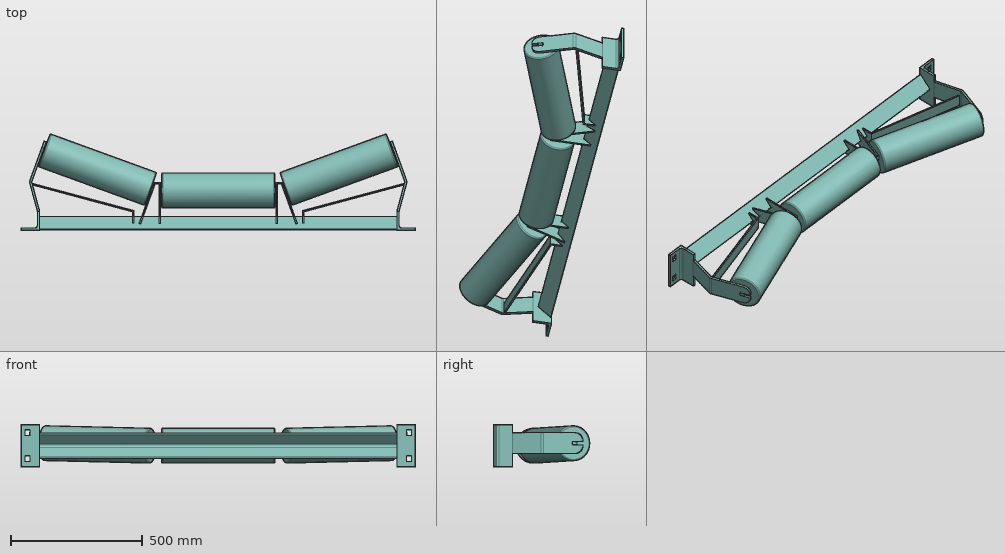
import cadquery as cq
import math

OVERALL_LENGTH = 1500.0
TROUGH_ANGLE = 20.0
SPLAY_ANGLE = 15.0

BEAM_LEG = 69.0
BEAM_THICKNESS = 6.0
BEAM_ROOT_RADIUS = 9.0
BEAM_TOE_RADIUS = 5.0

PLATE_THICKNESS = 9.0
FOOT_WIDTH = 70.0
FOOT_HEIGHT = 160.0
LEG_DEPTH = 72.0
UPPER_BEND_Y = 185.0
UPRIGHT_TIP_LENGTH = 162.0
UPRIGHT_WIDTH = 80.0
UPRIGHT_OFFSET_Z = 9.8
UPRIGHT_CORNER_RADIUS = 30.0
FOOT_BEND_RADIUS = 10.0
UPPER_BEND_RADIUS = 9.0
FOOT_HOLE_WIDTH = 18.0
FOOT_HOLE_HEIGHT = 21.0
FOOT_HOLE_EDGE_DISTANCE = 24.0
FOOT_HOLE_SPACING = 99.0

ROLLER_DIAMETER = 134.0
ROLLER_LENGTH = 430.0
ROLLER_EDGE_RADIUS = 5.0
CENTRE_ROLLER_Y = 152.0
ROLLER_GAP = 3.8
SHAFT_DIAMETER = 20.0
SHAFT_FLATS = 12.0
SHAFT_TO_TIP = 33.0
SLOT_CLEARANCE = 0.8
SLOT_CUT_LENGTH = 22.0

INNER_THICKNESS = 6.0
INNER_WIDTH = 60.0
INNER_TOP_Y = 182.0
SADDLE_BOTTOM_Y = 25.0

BRACE_THICKNESS = 6.0
BRACE_WIDTH = 50.0
BRACE_FOOT_X = 321.0
BRACE_BELOW_BEND = 6.0

trough = math.radians(TROUGH_ANGLE)
splay = math.radians(SPLAY_ANGLE)

beam_corner_y = (BEAM_LEG + BEAM_THICKNESS) / math.sqrt(2)

leg_x = FOOT_WIDTH - OVERALL_LENGTH / 2
upper_bend = (leg_x - (UPPER_BEND_Y - LEG_DEPTH) * math.tan(splay), UPPER_BEND_Y)


def along(start, angle, distance):
    """Point at a distance from start, in a direction given in radians from +X."""
    return (start[0] + distance * math.cos(angle), start[1] + distance * math.sin(angle))


upright_direction = math.pi / 2 - trough
upright_tip = along(upper_bend, upright_direction, UPRIGHT_TIP_LENGTH)
wing_outer_support = along(upper_bend, upright_direction, UPRIGHT_TIP_LENGTH - SHAFT_TO_TIP)
wing_span = ROLLER_LENGTH + 2 * ROLLER_GAP
wing_inner_support = along(wing_outer_support, -trough, wing_span)
wing_centre = along(wing_outer_support, -trough, wing_span / 2)
wing_tilt = math.degrees(math.atan(UPRIGHT_OFFSET_Z / wing_span))


def bent_plate(path, thickness, width, centre_z=0.0):
    """Plate that follows a path in XY, thickened to the left of it (right if negative)."""
    headings = [math.atan2(b[1] - a[1], b[0] - a[0]) for a, b in zip(path, path[1:])]
    before = headings[:1] + headings
    after = headings + headings[-1:]
    far_side = []
    for point, h1, h2 in zip(path, before, after):
        mitre = thickness / math.cos((h2 - h1) / 2)
        far_side.append(along(point, (h1 + h2) / 2 + math.pi / 2, mitre))
    return (
        cq.Workplane("XY", origin=(0, 0, centre_z - width / 2))
        .polyline(path + far_side[::-1])
        .close()
        .extrude(width)
    )


def shaft_bar(length, clearance=0.0):
    """Round bar with two flats, along X and centred on the origin."""
    bar = (
        cq.Workplane("YZ", origin=(-length / 2, 0, 0))
        .circle(SHAFT_DIAMETER / 2 + clearance)
        .extrude(length)
    )
    flats = cq.Workplane("XY").box(length, SHAFT_DIAMETER * 2, SHAFT_FLATS + 2 * clearance)
    return bar.intersect(flats)


def shaft_slot(length, depth):
    """Cutter for a slot open to +Y whose bottom holds a shaft centred on the origin."""
    opening = cq.Workplane("XY").box(
        length, depth, SHAFT_FLATS + 2 * SLOT_CLEARANCE, centered=(True, False, True)
    )
    return shaft_bar(length, SLOT_CLEARANCE).union(opening)


def in_wing_place(shape, point, z):
    """Turn a shape built along X to the slope of the left wing and move it to a point."""
    return shape.rotate((0, 0, 0), (0, 0, 1), -TROUGH_ANGLE).translate((point[0], point[1], z))


def beam_wedge():
    """Solid triangle inside the outer faces of the beam, for notching what sits on it."""
    return (
        cq.Workplane("YZ", origin=(-OVERALL_LENGTH / 2, 0, 0))
        .polyline([(beam_corner_y, 0), (0, beam_corner_y), (0, -beam_corner_y)])
        .close()
        .extrude(OVERALL_LENGTH)
    )


def make_beam():
    """Angle iron between the end brackets, turned 45 degrees so its corner faces +Y."""
    angle_iron = (
        cq.Workplane("YZ", origin=(leg_x, 0, 0))
        .polyline([
            (0, 0),
            (-BEAM_LEG, 0),
            (-BEAM_LEG, BEAM_THICKNESS),
            (-BEAM_THICKNESS, BEAM_THICKNESS),
            (-BEAM_THICKNESS, BEAM_LEG),
            (0, BEAM_LEG),
        ])
        .close()
        .extrude(-2 * leg_x)
        .edges(cq.selectors.NearestToPointSelector((0, -BEAM_THICKNESS, BEAM_THICKNESS)))
        .fillet(BEAM_ROOT_RADIUS)
        .edges(cq.selectors.NearestToPointSelector((0, -BEAM_LEG, BEAM_THICKNESS)))
        .fillet(BEAM_TOE_RADIUS)
        .edges(cq.selectors.NearestToPointSelector((0, -BEAM_THICKNESS, BEAM_LEG)))
        .fillet(BEAM_TOE_RADIUS)
    )
    return angle_iron.rotate((0, 0, 0), (1, 0, 0), 45).translate((0, beam_corner_y, 0))


def make_brace(end_bracket):
    """Left brace: a foot astride the beam and an arm whose end is cut to meet the end bracket."""
    arm_end = along(upper_bend, -math.pi / 2 + splay, BRACE_BELOW_BEND)
    bend_y = arm_end[1] - (-BRACE_FOOT_X - arm_end[0]) * math.tan(splay)
    path = [(-BRACE_FOOT_X, SADDLE_BOTTOM_Y), (-BRACE_FOOT_X, bend_y), arm_end]
    arm = bent_plate(path, BRACE_THICKNESS, BRACE_WIDTH)
    return arm.cut(beam_wedge()).cut(end_bracket)


def make_end_bracket():
    """Left end bracket: bolted foot, full-height leg and slotted upright."""
    foot_corner = (leg_x, 0)
    leg_top = (leg_x, LEG_DEPTH)
    leg_middle = (leg_x, LEG_DEPTH / 2)
    foot_start = (-OVERALL_LENGTH / 2, 0)
    foot = bent_plate([foot_start, foot_corner, leg_top], PLATE_THICKNESS, FOOT_HEIGHT)
    foot_bend = (leg_x - PLATE_THICKNESS, PLATE_THICKNESS, 0)
    foot = foot.edges(cq.selectors.NearestToPointSelector(foot_bend)).fillet(FOOT_BEND_RADIUS)
    holes = (
        cq.Workplane("XZ", origin=(foot_start[0] + FOOT_HOLE_EDGE_DISTANCE, 0, 0))
        .rarray(15, FOOT_HOLE_SPACING, 1, 2)
        .rect(FOOT_HOLE_WIDTH, FOOT_HOLE_HEIGHT)
        .extrude(-PLATE_THICKNESS)
    )
    upright = bent_plate(
        [leg_middle, leg_top, upper_bend, upright_tip],
        PLATE_THICKNESS, UPRIGHT_WIDTH, UPRIGHT_OFFSET_Z,
    )
    inside_bend = (*upper_bend, UPRIGHT_OFFSET_Z)
    outside_bend = (upper_bend[0] - PLATE_THICKNESS, upper_bend[1], UPRIGHT_OFFSET_Z)
    upright = upright.edges(cq.selectors.NearestToPointSelector(inside_bend)).fillet(UPPER_BEND_RADIUS)
    upright = upright.edges(cq.selectors.NearestToPointSelector(outside_bend)).fillet(
        UPPER_BEND_RADIUS + PLATE_THICKNESS
    )
    tip_middle = along(upright_tip, math.pi - trough, PLATE_THICKNESS / 2)
    for side in (-1, 1):
        tip_corner = (*tip_middle, UPRIGHT_OFFSET_Z + side * UPRIGHT_WIDTH / 2)
        upright = upright.edges(cq.selectors.NearestToPointSelector(tip_corner)).fillet(
            UPRIGHT_CORNER_RADIUS
        )
    slot = shaft_slot(SLOT_CUT_LENGTH, 2 * SHAFT_TO_TIP)
    return foot.cut(holes).union(upright).cut(
        in_wing_place(slot, wing_outer_support, UPRIGHT_OFFSET_Z)
    )


def make_inner_bracket():
    """Left inner bracket: an inverted U astride the beam that carries two roller ends."""
    centre_face_x = -(ROLLER_LENGTH / 2 + ROLLER_GAP)

    def wing_face(y):
        return (wing_inner_support[0] + (y - wing_inner_support[1]) * math.tan(trough), y)

    path = [
        wing_face(SADDLE_BOTTOM_Y),
        wing_face(INNER_TOP_Y),
        (centre_face_x, INNER_TOP_Y),
        (centre_face_x, SADDLE_BOTTOM_Y),
    ]
    slot = shaft_slot(SLOT_CUT_LENGTH, INNER_TOP_Y)
    wing_slot = in_wing_place(slot, wing_inner_support, 0)
    centre_slot = slot.translate((centre_face_x, CENTRE_ROLLER_Y, 0))
    bracket = bent_plate(path, -INNER_THICKNESS, INNER_WIDTH).cut(beam_wedge())
    return bracket.cut(wing_slot).cut(centre_slot)


def make_roller(outer_plate, inner_plate):
    """Roller along X, its shaft ends flush with the far faces of the plates that carry it."""
    drum = (
        cq.Workplane("YZ", origin=(-ROLLER_LENGTH / 2, 0, 0))
        .circle(ROLLER_DIAMETER / 2)
        .extrude(ROLLER_LENGTH)
        .edges("%CIRCLE")
        .fillet(ROLLER_EDGE_RADIUS)
    )
    shaft = shaft_bar(wing_span + outer_plate + inner_plate).translate(
        ((inner_plate - outer_plate) / 2, 0, 0)
    )
    return drum.union(shaft)


def make_wing_roller():
    """Left wing roller, sloping down to the middle with its outer end raised in Z."""
    roller = make_roller(PLATE_THICKNESS, INNER_THICKNESS)
    tilted = roller.rotate((0, 0, 0), (0, 1, 0), wing_tilt)
    return in_wing_place(tilted, wing_centre, UPRIGHT_OFFSET_Z / 2)


end_bracket = make_end_bracket()
brace = make_brace(end_bracket)
cross_frame = make_beam().union(brace).union(brace.mirror("YZ"))
centre_roller = make_roller(INNER_THICKNESS, INNER_THICKNESS).translate((0, CENTRE_ROLLER_Y, 0))

bodies = [cross_frame.val(), centre_roller.val()]
for left_body in (end_bracket, make_inner_bracket(), make_wing_roller()):
    bodies.append(left_body.val())
    bodies.append(left_body.mirror("YZ").val())

result = cq.Compound.makeCompound(bodies)